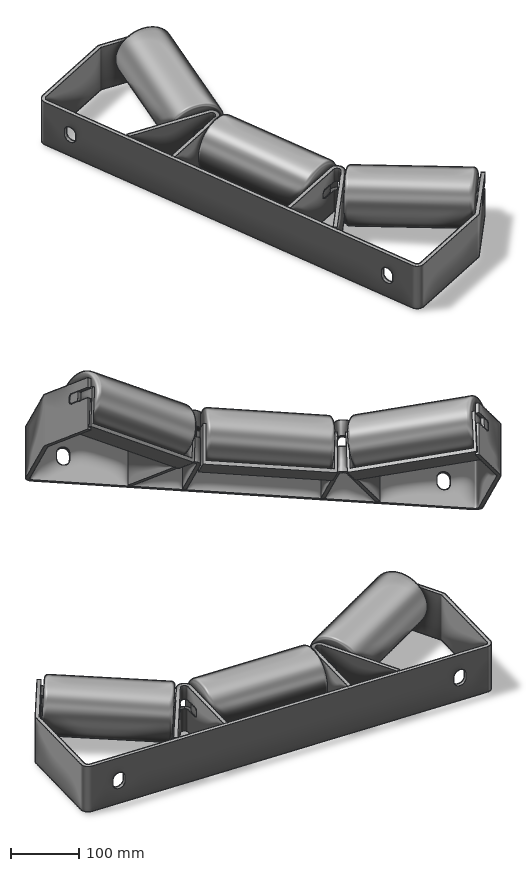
import cadquery as cq
import math

PLATE = 6.0
BEND_INNER = 6.0
BEND_OUTER = BEND_INNER + PLATE
PLATE_HEIGHT = 80.0

FRAME_HALF_WIDTH = 340.0
WING_CORNER_Y = 152.8
WING_LENGTH = 97.8
WING_ANGLE = 30.0
MOUNT_X = 283.0
MOUNT_WIDTH = 20.0
MOUNT_HEIGHT = 28.0

ROLLER_RADIUS = 45.0
ROLLER_HALF = 95.5
ROLLER_FILLET = 6.0
SHAFT_RADIUS = 10.0
SHOULDER_HALF = 98.0
TANG_REACH = 105.0
TANG_WIDTH = 18.0
TANG_HEIGHT = 15.2
TANG_CORNER = 5.0
TILT = 2.7

MIDDLE_HALF_GAP = 100.0
SIDE_HALF_GAP = 99.0
MIDDLE_Y = 100.0
MIDDLE_Z = 47.5
SIDE_Z = 52.0
SIDE_OFFSET = 28.8

SLOT_HEIGHT = 16.0
SLOT_CORNER = 5.5
SLOT_FLOOR = 10.5
SLOT_RISE = 60.0

CARRIER_HALF = MIDDLE_HALF_GAP
CARRIER_WIDTH = 35.0
CARRIER_DROP = 53.0
CARRIER_RISE = 10.0
CARRIER_PLATE = 6.0

SIN_WING = math.sin(math.radians(WING_ANGLE))
COS_WING = math.cos(math.radians(WING_ANGLE))
ALONG = (SIN_WING, COS_WING)
OUTWARD = (-COS_WING, SIN_WING)

WING_FACE = -FRAME_HALF_WIDTH * OUTWARD[0] + WING_CORNER_Y * OUTWARD[1] - PLATE
SIDE_AXIAL = WING_FACE - SIDE_HALF_GAP
SIDE_X = SIDE_AXIAL * OUTWARD[0] + SIDE_OFFSET * ALONG[0]
SIDE_Y = SIDE_AXIAL * OUTWARD[1] + SIDE_OFFSET * ALONG[1]
SLOT_Z_SHIFT = (SIDE_HALF_GAP + PLATE / 2) * math.sin(math.radians(TILT))


def bent_strip(points):
    """Upright plate whose outer face follows points; the plate lies to the left of the path."""
    count = len(points)
    normals = []
    for (x0, y0), (x1, y1) in zip(points, points[1:]):
        length = math.hypot(x1 - x0, y1 - y0)
        normals.append((-(y1 - y0) / length, (x1 - x0) / length))

    inner = []
    for i, (x, y) in enumerate(points):
        before = normals[max(i - 1, 0)]
        after = normals[min(i, count - 2)]
        mitre = PLATE / (1 + before[0] * after[0] + before[1] * after[1])
        inner.append((x + mitre * (before[0] + after[0]), y + mitre * (before[1] + after[1])))

    strip = cq.Workplane("XY").polyline(points + inner[::-1]).close().extrude(PLATE_HEIGHT)
    for corners, radius in ((points, BEND_OUTER), (inner, BEND_INNER)):
        for x, y in corners[1:-1]:
            bend_edge = cq.selectors.NearestToPointSelector((x, y, PLATE_HEIGHT / 2))
            strip = strip.edges("|Z").edges(bend_edge).fillet(radius)
    return strip


def at_middle(body):
    """Move a body from the origin to the middle roller station."""
    return body.translate((0, MIDDLE_Y, MIDDLE_Z))


def at_left(body, height, tilt=0.0):
    """Move a body from the origin to the left roller station, tilted in its own X-Z plane."""
    tilted = body.rotate((0, 0, 0), (0, 1, 0), tilt)
    turned = tilted.rotate((0, 0, 0), (0, 0, 1), -WING_ANGLE)
    return turned.translate((SIDE_X, SIDE_Y, height))


def mirrored(body):
    return body.mirror("YZ")


def shaft_slot(face):
    """Cutter for a slot open towards +Y, from before the plate face to the bend centre."""
    depth = 2 * BEND_OUTER
    cutter = (
        cq.Workplane("XY")
        .box(depth, SLOT_RISE + SLOT_FLOOR, SLOT_HEIGHT, centered=(True, False, True))
        .edges("|X and <Y")
        .fillet(SLOT_CORNER)
    )
    return cutter.translate((face, -SLOT_FLOOR, 0))


def make_frame():
    wing_tip_x = -FRAME_HALF_WIDTH + WING_LENGTH * ALONG[0]
    wing_tip_y = WING_CORNER_Y + WING_LENGTH * ALONG[1]
    left = [(wing_tip_x, wing_tip_y), (-FRAME_HALF_WIDTH, WING_CORNER_Y), (-FRAME_HALF_WIDTH, 0)]
    right = [(-x, y) for x, y in reversed(left)]
    frame = bent_strip(left + right)

    mounts = (
        cq.Workplane("XZ")
        .pushPoints([(-MOUNT_X, PLATE_HEIGHT / 2), (MOUNT_X, PLATE_HEIGHT / 2)])
        .slot2D(MOUNT_HEIGHT, MOUNT_WIDTH, 90)
        .extrude(-PLATE)
    )
    wing_slot = at_left(shaft_slot(-SIDE_HALF_GAP), SIDE_Z + SLOT_Z_SHIFT)
    return frame.cut(mounts).cut(wing_slot).cut(mirrored(wing_slot))


def make_left_bracket():
    leg_face = SIDE_AXIAL - SIDE_HALF_GAP
    apex_x = -MIDDLE_HALF_GAP
    apex_y = (leg_face - apex_x * OUTWARD[0]) / OUTWARD[1]
    foot_y = PLATE + PLATE * OUTWARD[1]
    foot_x = apex_x - (apex_y - foot_y) * ALONG[0] / ALONG[1]
    bracket = bent_strip([(apex_x, PLATE), (apex_x, apex_y), (foot_x, foot_y)])

    middle_slot = at_middle(shaft_slot(-MIDDLE_HALF_GAP))
    side_slot = at_left(shaft_slot(SIDE_HALF_GAP), SIDE_Z - SLOT_Z_SHIFT)
    return bracket.cut(middle_slot).cut(side_slot)


def rod(radius, half_length):
    """Round bar along X, centred on the origin."""
    return cq.Workplane("YZ", origin=(-half_length, 0, 0)).circle(radius).extrude(2 * half_length)


def make_roller():
    """Roller with its shaft along X, centred on the origin."""
    roller = rod(ROLLER_RADIUS, ROLLER_HALF).edges().fillet(ROLLER_FILLET)
    shaft = rod(SHAFT_RADIUS, SHOULDER_HALF)
    tang = (
        cq.Workplane("XY")
        .box(2 * TANG_REACH, TANG_WIDTH, TANG_HEIGHT)
        .edges("|X and <Y")
        .fillet(TANG_CORNER)
    )
    return roller.union(shaft).union(tang)


def make_carrier():
    """U-shaped carrier with an ear against each roller end, notched around the shaft."""
    height = CARRIER_RISE + CARRIER_DROP
    block = (
        cq.Workplane("XY")
        .box(2 * CARRIER_HALF, CARRIER_WIDTH, height, centered=(True, False, False))
        .translate((0, 0, -CARRIER_DROP))
    )
    opening = (
        cq.Workplane("XY")
        .box(2 * ROLLER_HALF, CARRIER_WIDTH, height, centered=(True, False, False))
        .translate((0, 0, -CARRIER_DROP + CARRIER_PLATE))
    )
    notch_height = CARRIER_RISE + SHAFT_RADIUS
    notch = (
        cq.Workplane("XY")
        .box(2 * CARRIER_HALF, SHAFT_RADIUS, notch_height, centered=(True, False, False))
        .translate((0, 0, -SHAFT_RADIUS))
    )
    return block.cut(opening).cut(notch)


frame = make_frame()
left_bracket = make_left_bracket()
brackets = [left_bracket, mirrored(left_bracket)]

roller = make_roller()
left_roller = at_left(roller, SIDE_Z, TILT)
rollers = [left_roller, at_middle(roller), mirrored(left_roller)]

carrier = make_carrier()
left_carrier = at_left(carrier, SIDE_Z, TILT).cut(frame).cut(left_bracket)
carriers = [left_carrier, at_middle(carrier), mirrored(left_carrier)]

bodies = [frame, *brackets, *rollers, *carriers]
result = cq.Compound.makeCompound([body.val() for body in bodies])